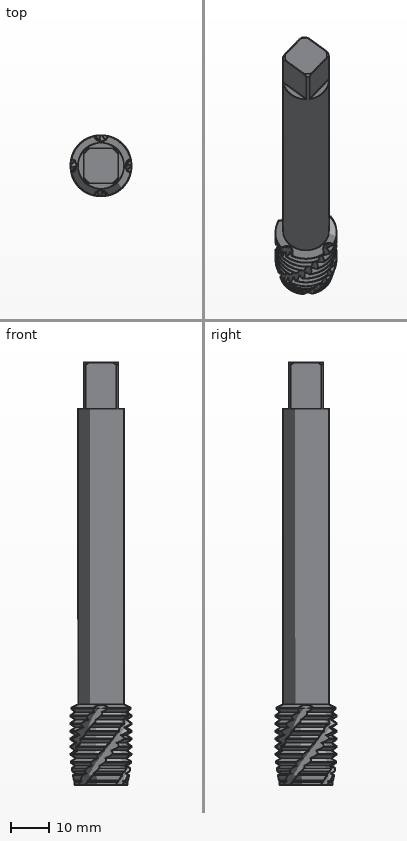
import cadquery as cq
import math

TOTAL_LENGTH = 110

SHANK_DIAMETER = 12.0
SQUARE_SIDE = 9.0
SQUARE_LENGTH = 12.0
CORNER_BEVEL = 0.5

HEAD_LENGTH = 21.0
PITCHES_IN_HEAD = 10.5
MAJOR_DIAMETER = 16.0
MINOR_DIAMETER = 13.4
TIP_DIAMETER = 13.8
LEAD_LENGTH = 6.0

FLUTE_COUNT = 4
FLUTE_RADIUS = 1.9
FLUTE_CENTRE_RADIUS = 8.2
FLUTE_LEAD = 52.8

SHANK_RADIUS = SHANK_DIAMETER / 2
MAJOR_RADIUS = MAJOR_DIAMETER / 2
MINOR_RADIUS = MINOR_DIAMETER / 2
TIP_RADIUS = TIP_DIAMETER / 2
PITCH = HEAD_LENGTH / PITCHES_IN_HEAD
CREST_FLAT = PITCH / 8
FLUTE_RUNOUT = PITCH / 2


def revolve_about_axis(outline):
    """Solid of revolution about Z from (radius, height) points."""
    return cq.Workplane("XZ").polyline(outline).close().revolve(360, (0, 0), (0, 1))


def make_shank():
    """Round shank whose upper end is cut to a square with bevelled corners."""
    shank = (
        cq.Workplane("XY", origin=(0, 0, HEAD_LENGTH))
        .circle(SHANK_RADIUS)
        .extrude(TOTAL_LENGTH - HEAD_LENGTH)
        .faces(">Z")
        .chamfer(CORNER_BEVEL)
    )
    square_waste = (
        cq.Workplane("XY", origin=(0, 0, TOTAL_LENGTH - SQUARE_LENGTH))
        .circle(SHANK_DIAMETER)
        .rect(SQUARE_SIDE, SQUARE_SIDE)
        .extrude(SQUARE_LENGTH)
    )
    return shank.cut(square_waste)


def thread_rings():
    """Core with ring-shaped crests, the first one half a pitch below the top face."""
    outline = [(0, HEAD_LENGTH), (SHANK_RADIUS, HEAD_LENGTH)]
    for index in range(math.ceil(PITCHES_IN_HEAD)):
        crest_height = HEAD_LENGTH - (index + 0.5) * PITCH
        outline.append((MAJOR_RADIUS, crest_height + CREST_FLAT / 2))
        outline.append((MAJOR_RADIUS, crest_height - CREST_FLAT / 2))
        outline.append((MINOR_RADIUS, crest_height - PITCH / 2))
    lowest_root_height = outline[-1][1]
    outline.append((0, lowest_root_height))
    return revolve_about_axis(outline)


def head_envelope():
    """Plain head with a tapered lead, which trims the crests near the tip."""
    return revolve_about_axis([
        (0, 0),
        (TIP_RADIUS, 0),
        (MAJOR_RADIUS, LEAD_LENGTH),
        (MAJOR_RADIUS, HEAD_LENGTH),
        (0, HEAD_LENGTH),
    ])


def flute_cutter(angle_at_top):
    """Round bar that twists right-handed up the head and ends in a short upright stretch."""
    twist_height = HEAD_LENGTH - FLUTE_RUNOUT
    twist = 360 * twist_height / FLUTE_LEAD
    groove = (
        cq.Workplane("XY")
        .pushPoints([(FLUTE_CENTRE_RADIUS, 0)])
        .circle(FLUTE_RADIUS)
        .twistExtrude(twist_height, twist)
        .rotate((0, 0, 0), (0, 0, 1), -twist)
    )
    runout = (
        cq.Workplane("XY", origin=(FLUTE_CENTRE_RADIUS, 0, twist_height))
        .circle(FLUTE_RADIUS)
        .extrude(FLUTE_RUNOUT)
    )
    return groove.union(runout).rotate((0, 0, 0), (0, 0, 1), angle_at_top)


def make_cutting_head():
    """Threaded head with evenly spaced spiral flutes."""
    head = thread_rings().intersect(head_envelope())
    for index in range(FLUTE_COUNT):
        head = head.cut(flute_cutter(index * 360 / FLUTE_COUNT))
    return head


shank = make_shank()
cutting_head = make_cutting_head()

result = cq.Compound.makeCompound([shank.solids().val(), cutting_head.solids().val()])